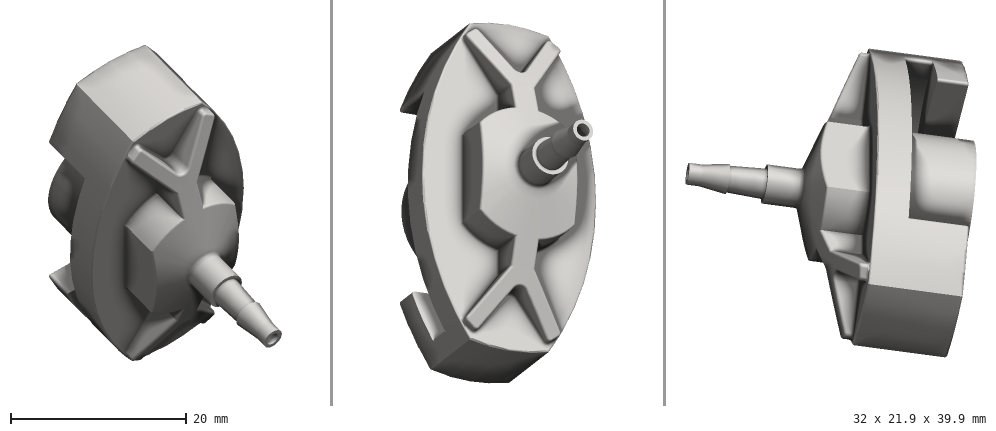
import cadquery as cq
import math

CLAW_FRONT = 1.0
SLAB_FRONT = 8.0
SLAB_BACK = 12.0
CONE_END = 19.0
COLLAR_END = 23.08
BARB_START = 27.4
BARB_END = 30.5
TOTAL_LENGTH = 32.0

HEIGHT = 39.85
WIDTH = 21.9
HALF_HEIGHT = HEIGHT / 2
HALF_WIDTH = WIDTH / 2
SIDE_RADIUS = 34.0
SIDE_CENTER_Y = SIDE_RADIUS - HALF_WIDTH

CLAW_INNER_Z = 11.5
POCKET_FRONT = 4.8
POCKET_LEAD_IN = 0.25
LEAD_IN_START_Y = 5.6
POCKET_RADIUS = 10.0
POCKET_FLOOR_Z = 16.9
POCKET_CENTER_Y = 3.6

BOSS_DIAMETER = 16.1
BORE_DIAMETER = 6.78
BORE_DEPTH = 11.95
CHANNEL_DIAMETER = 1.6

HUB_RADIUS = 8.0
HUB_HALF_FLAT = 5.98
CONE_ANGLE = 20.0
WEB_THICKNESS = 3.0
WEB_HALF_THICKNESS = WEB_THICKNESS / 2
FORK_Z = 11.0
FORK_ROOT_RADIUS = 1.0
ARM_ANGLE = 36.0
ARM_LENGTH = 7.85
ARM_THICKNESS = 2.0
ARM_TIP_RADIUS = 0.48

COLLAR_DIAMETER = 4.5
STEM_START_DIAMETER = 3.5
STEM_END_DIAMETER = 3.05
BARB_DIAMETER = 3.5
TIP_DIAMETER = 2.5

EDGE_RADIUS = 0.3
BACK_EDGE_RADIUS = 0.2
COLLAR_ROOT_RADIUS = 0.4

OVERLAP = 0.4
RIB_BASE = SLAB_BACK - OVERLAP
RIB_DEPTH = CONE_END - RIB_BASE
PLATE_SIZE = 2 * HEIGHT


def half_turn(body):
    """The body turned by 180 degrees about the X axis."""
    return body.rotate((0, 0, 0), (1, 0, 0), 180)


def revolve_about_x(points):
    """Solid of revolution from (x, radius) points."""
    return cq.Workplane("XY").polyline(points).close().revolve(360, (0, 0, 0), (1, 0, 0))


def outline_prism(start, length, inset=0.0):
    """Slab outline, moved inwards by the inset and extruded along X."""
    end_radius = HALF_HEIGHT - inset
    side_radius = SIDE_RADIUS - inset
    half_width = HALF_WIDTH - inset
    y = (side_radius**2 - end_radius**2 - SIDE_CENTER_Y**2) / (2 * SIDE_CENTER_Y)
    z = math.sqrt(end_radius**2 - y**2)
    return (
        cq.Workplane("YZ", origin=(start, 0, 0))
        .moveTo(y, -z)
        .threePointArc((half_width, 0), (y, z))
        .threePointArc((0, end_radius), (-y, z))
        .threePointArc((-half_width, 0), (-y, -z))
        .threePointArc((0, -end_radius), (y, -z))
        .close()
        .extrude(length)
    )


def make_claw_gap():
    """Space between the two claws in front of the slab."""
    return cq.Workplane("XY").box(
        SLAB_FRONT, 2 * WIDTH, 2 * CLAW_INNER_Z, centered=(False, True, True)
    )


def make_pocket():
    """Locking pocket of the lower claw, open towards -Y and into the claw gap."""
    outside_y = -HALF_WIDTH
    arc_top_z = POCKET_RADIUS - POCKET_FLOOR_Z
    section = (
        cq.Workplane("YZ")
        .moveTo(outside_y, -POCKET_FLOOR_Z)
        .lineTo(-POCKET_CENTER_Y, -POCKET_FLOOR_Z)
        .radiusArc((POCKET_RADIUS - POCKET_CENTER_Y, arc_top_z), -POCKET_RADIUS)
        .lineTo(outside_y, arc_top_z)
        .close()
        .extrude(SLAB_FRONT)
    )
    plan = (
        cq.Workplane("XY")
        .moveTo(SLAB_FRONT, POCKET_RADIUS)
        .lineTo(POCKET_FRONT, POCKET_RADIUS)
        .lineTo(POCKET_FRONT, -LEAD_IN_START_Y)
        .lineTo(POCKET_FRONT - POCKET_LEAD_IN, outside_y)
        .lineTo(SLAB_FRONT, outside_y)
        .close()
        .extrude(-HALF_HEIGHT)
    )
    return section.intersect(plan)


def claw_side_edges(clamp):
    """Edges along X where the claw and pocket floors meet the side arcs."""
    middle = cq.selectors.BoxSelector(
        (0, -LEAD_IN_START_Y, -HALF_HEIGHT), (SLAB_FRONT, LEAD_IN_START_Y, HALF_HEIGHT)
    )
    return clamp.faces("|Z").edges("|X").edges(cq.selectors.InverseSelector(middle))


def make_clamp():
    """Slab with its two hooked claws."""
    pocket = make_pocket()
    clamp = outline_prism(CLAW_FRONT, SLAB_BACK - CLAW_FRONT)
    clamp = clamp.cut(make_claw_gap()).cut(pocket).cut(half_turn(pocket))
    clamp = clamp.faces("<X").edges().add(claw_side_edges(clamp)).fillet(EDGE_RADIUS)
    return clamp.faces(">X").edges().fillet(BACK_EDGE_RADIUS)


def make_hub():
    """Round hub with two flats."""
    flats = cq.Workplane("XY").box(4 * TOTAL_LENGTH, 2 * HUB_HALF_FLAT, 4 * HUB_RADIUS)
    hub = cq.Workplane("YZ", origin=(RIB_BASE, 0, 0)).circle(HUB_RADIUS).extrude(RIB_DEPTH)
    return hub.intersect(flats)


def make_web():
    """Web across the axis that forks into two arms at each end."""
    run_y = math.sin(math.radians(ARM_ANGLE))
    run_z = math.cos(math.radians(ARM_ANGLE))
    outer_y = WEB_HALF_THICKNESS + ARM_LENGTH * run_y
    outer_z = FORK_Z + ARM_LENGTH * run_z
    inner_y = outer_y - ARM_THICKNESS * run_z
    inner_z = outer_z + ARM_THICKNESS * run_y
    root_z = inner_z - inner_y * run_z / run_y

    fork = (
        cq.Workplane("YZ", origin=(RIB_BASE, 0, 0))
        .polyline([
            (WEB_HALF_THICKNESS, 0),
            (WEB_HALF_THICKNESS, FORK_Z),
            (outer_y, outer_z),
            (inner_y, inner_z),
            (0, root_z),
            (-inner_y, inner_z),
            (-outer_y, outer_z),
            (-WEB_HALF_THICKNESS, FORK_Z),
            (-WEB_HALF_THICKNESS, 0),
        ])
        .close()
        .extrude(RIB_DEPTH)
    )
    arm_tips = cq.selectors.BoxSelector(
        (RIB_BASE, -HALF_WIDTH, root_z + ARM_THICKNESS), (CONE_END, HALF_WIDTH, HALF_HEIGHT)
    )
    fork_root = cq.selectors.BoxSelector(
        (RIB_BASE, -WEB_HALF_THICKNESS / 2, FORK_Z),
        (CONE_END, WEB_HALF_THICKNESS / 2, root_z + ARM_THICKNESS),
    )
    fork = fork.edges("|X").edges(arm_tips).fillet(ARM_TIP_RADIUS)
    fork = fork.edges("|X").edges(fork_root).fillet(FORK_ROOT_RADIUS)
    return fork.union(half_turn(fork)).clean()


def with_rounded_foot(rib):
    """The rib standing on a wide plate, with a fillet around its foot."""
    plate = cq.Workplane("YZ", origin=(RIB_BASE, 0, 0)).rect(PLATE_SIZE, PLATE_SIZE).extrude(OVERLAP)
    foot = cq.selectors.BoxSelector(
        (SLAB_BACK - EDGE_RADIUS / 2, -HALF_WIDTH, -HALF_HEIGHT),
        (SLAB_BACK + EDGE_RADIUS / 2, HALF_WIDTH, HALF_HEIGHT),
    )
    return plate.union(rib).edges(foot).fillet(EDGE_RADIUS)


def make_ribs():
    """Hub and web under the cone, limited to the flat back of the slab."""
    tip_radius = COLLAR_DIAMETER / 2
    base_radius = tip_radius + RIB_DEPTH / math.tan(math.radians(CONE_ANGLE))
    cone = revolve_about_x([
        (RIB_BASE, 0),
        (RIB_BASE, base_radius),
        (CONE_END, tip_radius),
        (CONE_END, 0),
    ])
    limits = outline_prism(RIB_BASE, RIB_DEPTH, BACK_EDGE_RADIUS).intersect(cone)
    ribs = with_rounded_foot(make_hub()).union(with_rounded_foot(make_web())).intersect(limits)
    return ribs.faces("%CONE").edges("not(%CIRCLE and >X)").fillet(EDGE_RADIUS)


def make_nozzle():
    """Collar, tapered stem and barb of the hose nozzle."""
    return revolve_about_x([
        (SLAB_BACK, 0),
        (SLAB_BACK, COLLAR_DIAMETER / 2),
        (COLLAR_END, COLLAR_DIAMETER / 2),
        (COLLAR_END, STEM_START_DIAMETER / 2),
        (BARB_START, STEM_END_DIAMETER / 2),
        (BARB_START, BARB_DIAMETER / 2),
        (BARB_END, TIP_DIAMETER / 2),
        (TOTAL_LENGTH, TIP_DIAMETER / 2),
        (TOTAL_LENGTH, 0),
    ])


def make_bore():
    """Wide bore whose end is parallel to the outer cone, continued by the narrow channel."""
    taper_length = (BORE_DIAMETER - CHANNEL_DIAMETER) / 2 * math.tan(math.radians(CONE_ANGLE))
    return revolve_about_x([
        (0, 0),
        (0, BORE_DIAMETER / 2),
        (BORE_DEPTH, BORE_DIAMETER / 2),
        (BORE_DEPTH + taper_length, CHANNEL_DIAMETER / 2),
        (TOTAL_LENGTH, CHANNEL_DIAMETER / 2),
        (TOTAL_LENGTH, 0),
    ])


def make_part():
    boss = cq.Workplane("YZ").circle(BOSS_DIAMETER / 2).extrude(SLAB_FRONT + OVERLAP)
    collar_root = cq.selectors.BoxSelector(
        (CONE_END - OVERLAP, -COLLAR_DIAMETER, -COLLAR_DIAMETER),
        (CONE_END + OVERLAP, COLLAR_DIAMETER, COLLAR_DIAMETER),
    )
    back = make_ribs().union(make_nozzle())
    back = back.edges(collar_root).edges("%CIRCLE").fillet(COLLAR_ROOT_RADIUS)
    return make_clamp().union(back).union(boss).cut(make_bore())


result = make_part()